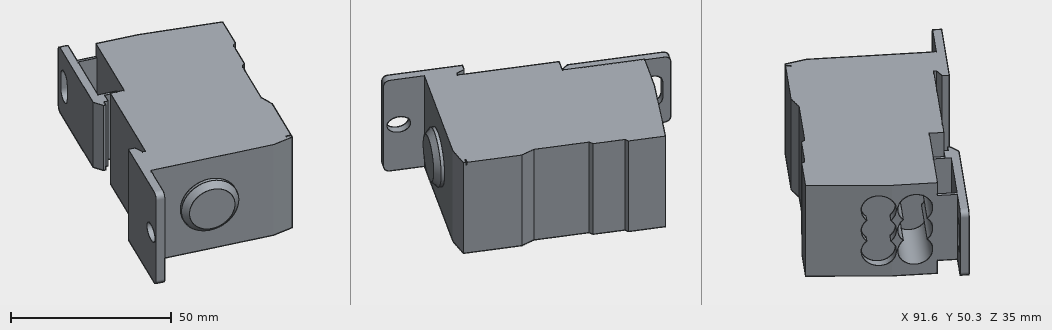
import cadquery as cq

length = 91.6
height = 50.3
width = 35.0
corner_radius = 2.0

wire_face_x = 9.8
knob_face_x = 78.6
slope_start_y = 23.45
foot_roof_y = 9.25
rail_seat_x = 36.0
rail_seat_y = 4.7
plate_top_y = 2.8
plate_hook_x = 65.8

foot_width = 25.1
foot_bottom_y = 0.3
foot_top_y = 3.0
rib_thickness = 0.9
rear_rib_x = 29.1

foot_slot_x = 5.5
foot_slot_length = 11.5
foot_slot_width = 5.9
plate_hole_x = 86.7
plate_hole_length = 7.5
plate_hole_width = 5.9

entry_diameter = 10.9
entry_pitch = 8.0
entry_count = 3
upper_entry_y = 27.6
upper_floor_x = 12.7
lower_entry_y = 16.2
lower_floor_x = 28.1

groove_x = 75.75
groove_width = 0.3
groove_length = 1.65
groove_depth = 0.9

knob_y = 22.1
knob_diameter = 19.0
knob_tip_diameter = 15.0
knob_rim_length = 1.1
knob_length = 3.0


def extrude_profile(points, depth):
    """Extrude an XY outline symmetrically about Z = 0."""
    return cq.Workplane("XY").polyline(points).close().extrude(depth / 2, both=True)


def make_housing():
    stepped_top = [
        (12.3, height),
        (24.2, height),
        (25.0, 49.3),
        (35.2, 49.3),
        (36.3, 48.2),
        (53.9, 48.2),
        (58.2, height),
        (76.8, height),
    ]
    knob_side_and_plate = [
        (knob_face_x, 43.4),
        (knob_face_x, plate_top_y),
        (length, plate_top_y),
        (length, 0),
    ]
    rail_hook_and_seat = [
        (plate_hook_x, 0),
        (plate_hook_x, 2.3),
        (68.4, 3.8),
        (68.4, rail_seat_y),
        (rail_seat_x, rail_seat_y),
        (rail_seat_x, foot_roof_y),
    ]
    wire_side = [
        (wire_face_x, foot_roof_y),
        (wire_face_x, slope_start_y),
    ]
    outline = stepped_top + knob_side_and_plate + rail_hook_and_seat + wire_side
    housing = extrude_profile(outline, width)
    return housing.edges("|Y and >X").fillet(corner_radius)


def make_foot():
    catch_back_x = rear_rib_x + rib_thickness
    outline = [
        (0, foot_bottom_y),
        (32.3, foot_bottom_y),
        (35.0, 2.75),
        (35.0, 3.6),
        (33.25, 3.6),
        (33.25, 4.95),
        (catch_back_x, 4.95),
        (catch_back_x, foot_roof_y),
        (rear_rib_x, foot_roof_y),
        (rear_rib_x, foot_top_y),
        (wire_face_x + rib_thickness, foot_top_y),
        (wire_face_x + rib_thickness, foot_roof_y),
        (wire_face_x, foot_roof_y),
        (wire_face_x, foot_top_y),
        (0, foot_top_y),
    ]
    return extrude_profile(outline, foot_width).edges("|Y and <X").fillet(corner_radius)


def make_foot_slot():
    """Round-ended slot with its long axis along Z."""
    slot = cq.Workplane("XZ").center(foot_slot_x, 0)
    return slot.slot2D(foot_slot_length, foot_slot_width, 90).extrude(-foot_top_y)


def make_plate_hole():
    """Elliptical hole with its long axis along X."""
    hole = cq.Workplane("XZ").center(plate_hole_x, 0)
    return hole.ellipse(plate_hole_length / 2, plate_hole_width / 2).extrude(-plate_top_y)


def make_wire_entry(y, floor_x):
    """Row of overlapping round bores along Z, with a flat floor at floor_x."""
    bores = cq.Workplane("YZ").center(y, 0).rarray(0.9, entry_pitch, 1, entry_count)
    return bores.circle(entry_diameter / 2).extrude(floor_x)


def make_groove():
    groove = cq.Workplane("XY", origin=(groove_x, height - groove_length / 2, width / 2))
    return groove.rect(groove_width, groove_length).extrude(-groove_depth)


def make_knob():
    rim = cq.Workplane("YZ", origin=(knob_face_x, knob_y, 0))
    rim = rim.circle(knob_diameter / 2).extrude(knob_rim_length)
    taper = cq.Workplane("YZ", origin=(knob_face_x + knob_rim_length, knob_y, 0))
    taper = taper.circle(knob_diameter / 2)
    taper = taper.workplane(offset=knob_length - knob_rim_length)
    return rim.union(taper.circle(knob_tip_diameter / 2).loft())


housing = make_housing()
housing = housing.cut(make_wire_entry(upper_entry_y, upper_floor_x))
housing = housing.cut(make_wire_entry(lower_entry_y, lower_floor_x))
housing = housing.cut(make_plate_hole())
housing = housing.cut(make_groove())

foot = make_foot().cut(make_foot_slot())

result = housing.union(foot).union(make_knob())